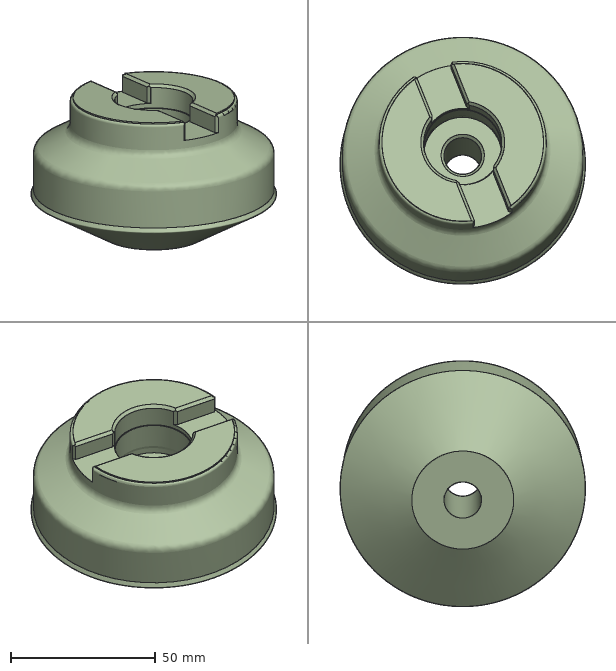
import cadquery as cq
import math

total_height = 50.0
base_radius = 17.7
rim_radius = 42.74
drum_radius = 41.8
boss_radius = 29.05
drum_corner_height = 31.1
shoulder_fillet = 3.0
rim_fillet = 0.4

cone_angle = math.radians(30)
lip_angle = math.radians(90) - cone_angle
rim_height = (rim_radius - base_radius) * math.tan(cone_angle)
lip_top_height = rim_height + (rim_radius - drum_radius) * math.tan(lip_angle)
neck_corner_height = drum_corner_height + (drum_radius - boss_radius) * math.tan(cone_angle)

pad_height = 0.5
boss_edge_radius = 1.0
pad_radius = boss_radius - boss_edge_radius
boss_top_height = total_height - pad_height

slot_width = 12.7
slot_floor_height = 43.2
slot_half_width = slot_width / 2
edge_chamfer = 1.0
bore_corner_chamfer = 0.85

seat_radius = 13.4
mouth_radius = 13.55
relief_radius = 13.55
seat_top_height = 41.4
seat_bottom_height = 32.0
relief_taper_height = 1.0
bore_floor_height = 29.0
hole_radius = 6.5


def round_ring_edge(body, radius, height, fillet):
    """Fillet the circular edge that lies at the given radius and height."""
    margin = 0.05
    reach = radius + margin
    ring = cq.selectors.BoxSelector(
        (-reach, -reach, height - margin),
        (reach, reach, height + margin),
        boundingbox=True,
    )
    return body.edges(ring).fillet(fillet)


def turned_body():
    """Solid of revolution without the bore and the slot."""
    profile = (
        cq.Workplane("XZ")
        .lineTo(base_radius, 0)
        .lineTo(rim_radius, rim_height)
        .lineTo(drum_radius, lip_top_height)
        .lineTo(drum_radius, drum_corner_height)
        .lineTo(boss_radius, neck_corner_height)
        .lineTo(boss_radius, boss_top_height - boss_edge_radius)
        .radiusArc((pad_radius, boss_top_height), -boss_edge_radius)
        .lineTo(pad_radius, total_height)
        .lineTo(0, total_height)
        .close()
    )
    body = profile.revolve()
    body = round_ring_edge(body, rim_radius, rim_height, rim_fillet)
    body = round_ring_edge(body, drum_radius, drum_corner_height, shoulder_fillet)
    return round_ring_edge(body, boss_radius, neck_corner_height, shoulder_fillet)


def bore_cutter():
    """Stepped bore and through hole, both with chamfered mouths."""
    seat_lead_in = mouth_radius - seat_radius
    profile = (
        cq.Workplane("XZ")
        .lineTo(hole_radius, 0)
        .lineTo(hole_radius, bore_floor_height - edge_chamfer)
        .lineTo(hole_radius + edge_chamfer, bore_floor_height)
        .lineTo(relief_radius, bore_floor_height)
        .lineTo(relief_radius, seat_bottom_height - relief_taper_height)
        .lineTo(seat_radius, seat_bottom_height)
        .lineTo(seat_radius, seat_top_height)
        .lineTo(mouth_radius, seat_top_height + seat_lead_in)
        .lineTo(mouth_radius, total_height - edge_chamfer)
        .lineTo(mouth_radius + edge_chamfer, total_height)
        .lineTo(0, total_height)
        .close()
    )
    return profile.revolve()


def slot_cutter():
    """Slot across the boss, with chamfered top edges."""
    chamfer_foot = total_height - edge_chamfer
    return (
        cq.Workplane("YZ")
        .moveTo(-slot_half_width, slot_floor_height)
        .lineTo(slot_half_width, slot_floor_height)
        .lineTo(slot_half_width, chamfer_foot)
        .lineTo(slot_half_width + edge_chamfer, total_height)
        .lineTo(-slot_half_width - edge_chamfer, total_height)
        .lineTo(-slot_half_width, chamfer_foot)
        .close()
        .extrude(boss_radius, both=True)
    )


def upright_chamfer(round_radius, wall_direction, chamfer):
    """Wedge cutting the +X +Y corner between a slot wall and a round wall.

    wall_direction is +1 where the slot wall runs outward from the corner, -1 where it runs inward.
    """
    corner_angle = math.asin(slot_half_width / round_radius)
    corner_x = round_radius * math.cos(corner_angle)
    on_slot_wall = (corner_x + wall_direction * chamfer, slot_half_width)
    on_round_wall = (
        corner_x - chamfer * math.sin(corner_angle),
        slot_half_width + chamfer * math.cos(corner_angle),
    )
    outside = (corner_x - wall_direction * chamfer, slot_half_width)
    return (
        cq.Workplane("XY")
        .workplane(offset=slot_floor_height)
        .polyline([on_slot_wall, on_round_wall, outside])
        .close()
        .extrude(total_height - slot_floor_height)
    )


result = turned_body().cut(slot_cutter()).cut(bore_cutter())
boss_wedge = upright_chamfer(boss_radius, -1, edge_chamfer)
bore_wedge = upright_chamfer(mouth_radius, 1, bore_corner_chamfer)
for wedge in (boss_wedge, bore_wedge):
    wedge_pair = wedge.union(wedge.mirror("YZ"))
    result = result.cut(wedge_pair).cut(wedge_pair.mirror("XZ"))